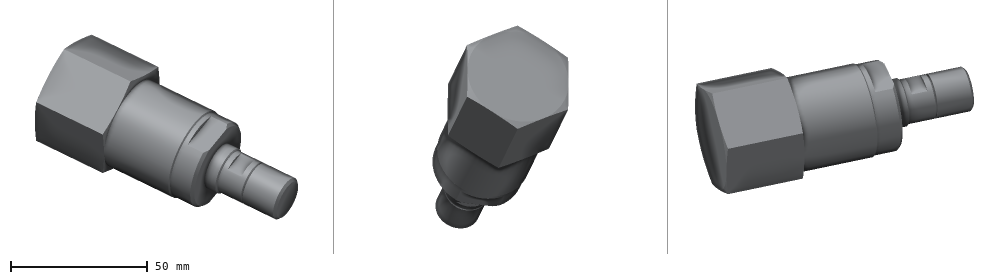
import cadquery as cq
import math

across_flats = 38.0
across_corners = across_flats / math.cos(math.pi / 6)
head_length = 29.9
head_chamfer_length = 0.6

turned_axis_y = -1.5

body_diameter = 35.0
collar_diameter = 34.0
shoulder_diameter = 18.0
stud_diameter = 16.7
groove_diameter = 15.3

body_end = 58.1
collar_end = 67.9
shoulder_end = 73.0
groove_start = 83.1
groove_end = 83.9
stud_end = 98.0

body_chamfer = 0.5
collar_chamfer_length = 1.2
collar_chamfer_depth = 1.0
shoulder_chamfer = 0.5
stud_chamfer_length = 1.0
stud_chamfer_depth = 1.0

collar_flat_start = 60.0
collar_flat_width = 29.9
stud_flat_start = 75.1
stud_flat_end = 81.0
stud_flat_width = 13.9


def revolve_about_x(profile):
    """Revolve a closed XY outline around the X axis."""
    return profile.close().revolve(360, (0, 0, 0), (1, 0, 0))


def cylinder(start, end, diameter, chamfer_length=0, chamfer_depth=0):
    """Cylinder along X with an optional conical break at its +X end."""
    radius = diameter / 2
    profile = cq.Workplane("XY").moveTo(start, 0).lineTo(start, radius)
    profile = profile.lineTo(end - chamfer_length, radius)
    if chamfer_length > 0:
        profile = profile.lineTo(end, radius - chamfer_depth)
    return revolve_about_x(profile.lineTo(end, 0))


def hex_head():
    """Hexagon with corners up and down, its corners turned off conically at both ends."""
    prism = (
        cq.Workplane("YZ")
        .polygon(6, across_corners)
        .extrude(head_length)
        .rotate((0, 0, 0), (1, 0, 0), 90)
    )
    envelope = revolve_about_x(
        cq.Workplane("XY")
        .lineTo(0, across_flats / 2)
        .lineTo(head_chamfer_length, across_corners / 2)
        .lineTo(head_length - head_chamfer_length, across_corners / 2)
        .lineTo(head_length, across_flats / 2)
        .lineTo(head_length, 0)
    )
    return prism.intersect(envelope)


def cut_flats(section, start, end, width, diameter):
    """Mill two opposite flats, separated by width along Z."""
    length = end - start
    depth = (diameter - width) / 2
    for side in (1, -1):
        cutter = cq.Workplane("XY").box(length, diameter, depth)
        section = section.cut(cutter.translate(((start + end) / 2, 0, side * (width + depth) / 2)))
    return section


body = cylinder(head_length, body_end, body_diameter, body_chamfer, body_chamfer)

collar = cylinder(body_end, collar_end, collar_diameter, collar_chamfer_length, collar_chamfer_depth)
collar = cut_flats(collar, collar_flat_start, collar_end, collar_flat_width, collar_diameter)

shoulder = cylinder(collar_end, shoulder_end, shoulder_diameter, shoulder_chamfer, shoulder_chamfer)

groove_length = groove_end - groove_start
groove_depth = (stud_diameter - groove_diameter) / 2
stud_base = cylinder(shoulder_end, groove_end, stud_diameter, groove_length, groove_depth)
stud_base = cut_flats(stud_base, stud_flat_start, stud_flat_end, stud_flat_width, stud_diameter)
stud_tip = cylinder(groove_end, stud_end, stud_diameter, stud_chamfer_length, stud_chamfer_depth)

result = hex_head()
for section in (body, collar, shoulder, stud_base, stud_tip):
    result = result.union(section.translate((0, turned_axis_y, 0)))